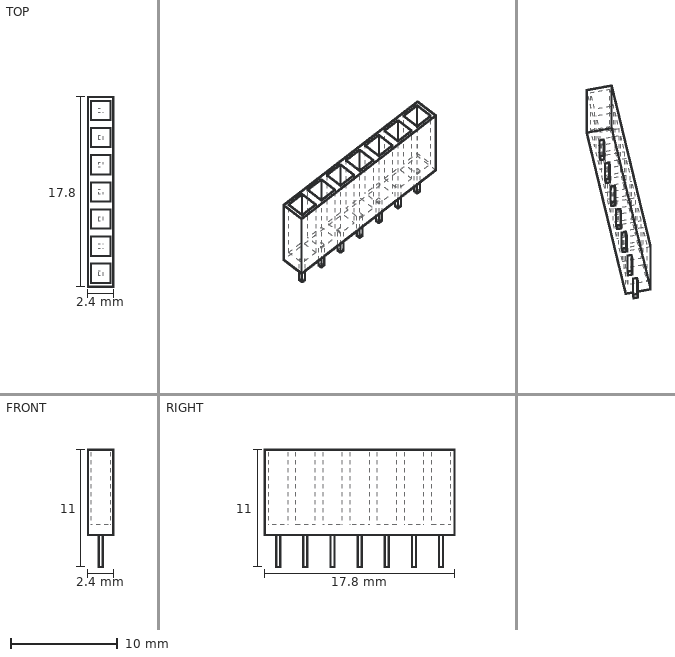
import cadquery as cq

CELL_COUNT = 7
PITCH = 2.54
BODY_WIDTH = 2.4
BODY_HEIGHT = 8.0
BODY_LENGTH = CELL_COUNT * PITCH

SOCKET_SIDE = 1.8
SOCKET_FLOOR = 1.0
SOCKET_DEPTH = BODY_HEIGHT - SOCKET_FLOOR

PIN_SIDE = 0.4
PIN_LENGTH = 3.0

CELL_CENTRES = [(0, (i - (CELL_COUNT - 1) / 2) * PITCH) for i in range(CELL_COUNT)]


def make_body():
    """Plain housing block standing on Z = 0, centred on the Z axis."""
    return cq.Workplane("XY").rect(BODY_WIDTH, BODY_LENGTH).extrude(BODY_HEIGHT)


def make_sockets():
    """Blind square openings, cut down from the top face."""
    return (
        cq.Workplane("XY", origin=(0, 0, BODY_HEIGHT))
        .pushPoints(CELL_CENTRES)
        .rect(SOCKET_SIDE, SOCKET_SIDE)
        .extrude(-SOCKET_DEPTH)
    )


def make_pins():
    """Square pins hanging from the underside, one centred under each cell."""
    return (
        cq.Workplane("XY")
        .pushPoints(CELL_CENTRES)
        .rect(PIN_SIDE, PIN_SIDE)
        .extrude(-PIN_LENGTH)
    )


result = make_body().cut(make_sockets()).union(make_pins())